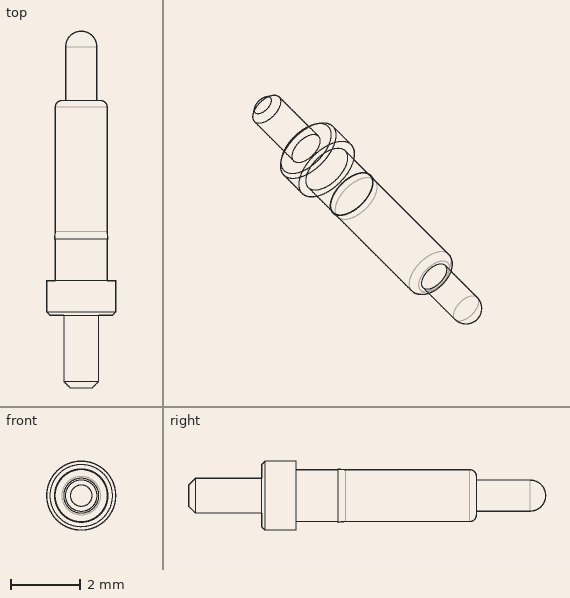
import cadquery as cq
import math

total_length = 10.3
tail_length = 2.1
tail_radius = 0.5
tail_chamfer = 0.2
flange_length = 1.0
flange_radius = 1.0
flange_chamfer = 0.1
collar_length = 1.2
barb_length = 0.22
barrel_radius = 0.75
barb_height = 0.02
barrel_rim_radius = 0.2
plunger_length = 2.0
plunger_radius = 0.45

tail_end = -total_length / 2
flange_front = tail_end + tail_length
flange_back = flange_front + flange_length
barb_start = flange_back + collar_length
barb_end = barb_start + barb_length
plunger_tip = total_length / 2
barrel_end = plunger_tip - plunger_length
dome_start = plunger_tip - plunger_radius

diagonal = math.sqrt(0.5)
rim_mid = (
    barrel_radius - barrel_rim_radius * (1 - diagonal),
    barrel_end - barrel_rim_radius * (1 - diagonal),
)
dome_mid = (plunger_radius * diagonal, dome_start + plunger_radius * diagonal)

profile = (
    cq.Workplane("XY")
    .moveTo(0, tail_end)
    .lineTo(tail_radius - tail_chamfer, tail_end)
    .lineTo(tail_radius, tail_end + tail_chamfer)
    .lineTo(tail_radius, flange_front)
    .lineTo(flange_radius - flange_chamfer, flange_front)
    .lineTo(flange_radius, flange_front + flange_chamfer)
    .lineTo(flange_radius, flange_back)
    .lineTo(barrel_radius, flange_back)
    .lineTo(barrel_radius, barb_start)
    .lineTo(barrel_radius + barb_height, barb_start)
    .lineTo(barrel_radius, barb_end)
    .lineTo(barrel_radius, barrel_end - barrel_rim_radius)
    .threePointArc(rim_mid, (barrel_radius - barrel_rim_radius, barrel_end))
    .lineTo(plunger_radius, barrel_end)
    .lineTo(plunger_radius, dome_start)
    .threePointArc(dome_mid, (0, plunger_tip))
    .close()
)

result = profile.revolve(360, (0, 0, 0), (0, 1, 0))